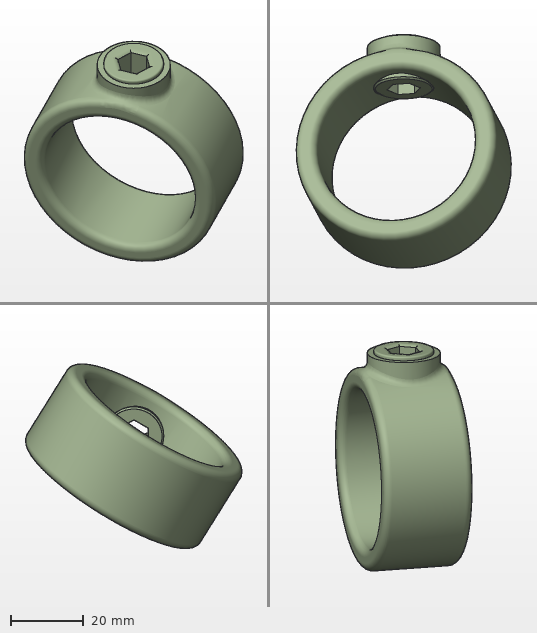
import cadquery as cq
import math

total_height = 61.5
ring_outer_diameter = 56.0
ring_outer_radius = ring_outer_diameter / 2
ring_inner_radius = 22.0
ring_width = 25.0
edge_round = 2.0

boss_radius = 10.0
boss_top_z = 32.5
boss_blend_radius = 2.0

screw_radius = 8.25
screw_length = 13.05
screw_top_z = total_height - ring_outer_radius
screw_bottom_z = screw_top_z - screw_length
screw_top_round = 0.5
screw_bottom_chamfer = 0.5
hex_across_flats = 8.0
hex_mouth_across_flats = 10.65
hex_mouth_round = 2.0
flats_to_corners = 1 / math.cos(math.radians(30))


def cylinder_y(radius):
    """Cylinder along Y, as wide as the ring."""
    return cq.Workplane("XZ", origin=(0, ring_width / 2, 0)).circle(radius).extrude(ring_width)


def make_screw_blank():
    """Plain cylinder filling the space of the screw."""
    return cq.Workplane("XY").workplane(offset=screw_bottom_z).circle(screw_radius).extrude(screw_length)


def make_ring():
    """Rounded ring with a blended boss and a hole for the screw."""
    boss = cq.Workplane("XY").circle(boss_radius).extrude(boss_top_z)
    body = cylinder_y(ring_outer_radius).union(boss)

    foot_box = cq.selectors.BoxSelector(
        (-boss_radius, -boss_radius, 0),
        (boss_radius, boss_radius, boss_top_z - boss_blend_radius),
        boundingbox=False,
    )
    body = body.edges(foot_box).edges("not(#Z or |Z)").fillet(boss_blend_radius)
    body = body.faces("<Y or >Y").edges().fillet(edge_round)

    bore = cylinder_y(ring_inner_radius)
    body = body.cut(bore)
    body = body.faces("<Y or >Y").edges(cq.selectors.RadiusNthSelector(0)).fillet(edge_round)
    return body.cut(make_screw_blank())


def make_socket_mouth():
    """Hexagonal flare whose six sides curve down from the screw top into the socket."""
    inner = hex_across_flats / 2
    outer = hex_mouth_across_flats / 2
    arc_centre_z = screw_top_z - hex_mouth_round
    arc_angle = math.asin((outer - inner) / hex_mouth_round)
    socket_edge_z = arc_centre_z + hex_mouth_round * math.cos(arc_angle)
    middle = outer - hex_mouth_round * math.sin(arc_angle / 2)
    middle_z = arc_centre_z + hex_mouth_round * math.cos(arc_angle / 2)
    channel = (
        cq.Workplane("YZ")
        .moveTo(-inner, socket_edge_z)
        .threePointArc((-middle, middle_z), (-outer, screw_top_z))
        .lineTo(outer, screw_top_z)
        .threePointArc((middle, middle_z), (inner, socket_edge_z))
        .close()
        .extrude(hex_mouth_across_flats, both=True)
    )
    mouth = channel
    for turn in (60, 120):
        mouth = mouth.intersect(channel.rotate((0, 0, 0), (0, 0, 1), turn))
    return mouth


def make_screw():
    """Set screw with a rounded top rim, a chamfered lower rim and a hexagonal through socket."""
    screw = make_screw_blank()
    screw = screw.faces(">Z").edges().fillet(screw_top_round)
    screw = screw.faces("<Z").edges().chamfer(screw_bottom_chamfer)
    socket = (
        cq.Workplane("XY")
        .workplane(offset=screw_bottom_z)
        .polygon(6, hex_across_flats * flats_to_corners)
        .extrude(screw_length)
    )
    mouth = make_socket_mouth()
    return screw.cut(socket).cut(mouth)


ring = make_ring()
screw = make_screw()
result = cq.Compound.makeCompound([ring.val(), screw.val()])